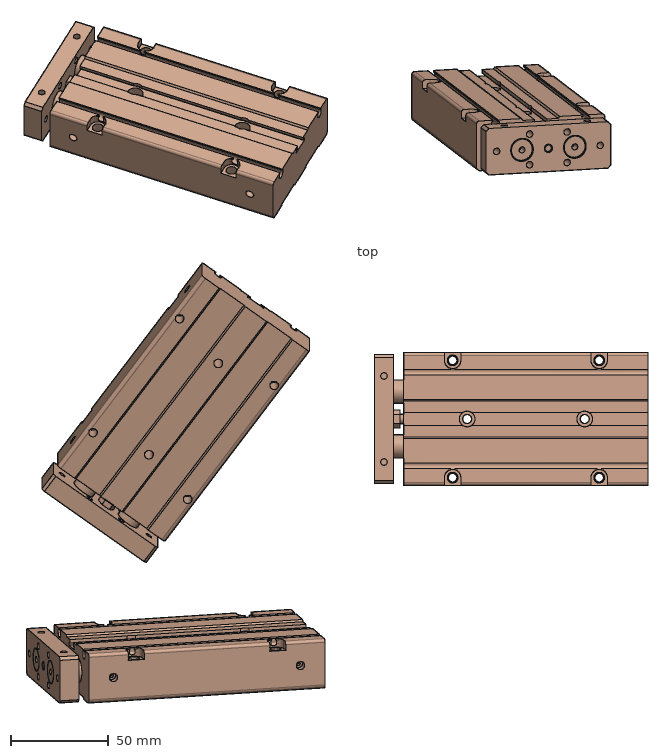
import cadquery as cq
import math

TOTAL_LENGTH = 140.0
HOUSING_WIDTH = 68.0
HOUSING_HEIGHT = 26.0
PLATE_THICKNESS = 10.0
PLATE_WIDTH = 66.1
PLATE_HEIGHT = 24.4
PLATE_CHAMFER = 1.5
ROD_GAP = 5.0

HOUSING_START = PLATE_THICKNESS + ROD_GAP
HOUSING_LENGTH = TOTAL_LENGTH - HOUSING_START
MID_Z = HOUSING_HEIGHT / 2

TOP_EDGE_RADIUS = 1.5
BOTTOM_EDGE_RADIUS = 2.1
RECESS_DEPTH = 1.0
RECESS_SLOPE = 0.8
TOP_RECESS_HALF = 10.1
T_SLOT_OPENING = 6.6
T_SLOT_WIDTH = 10.1
T_SLOT_LIP = 1.8
T_SLOT_DEPTH = 3.4
BOTTOM_RECESS_INNER = 6.7
BOTTOM_RECESS_OUTER = 23.2
SENSOR_GROOVE_Y = 24.0
SENSOR_GROOVE_RADIUS = 2.1
SENSOR_GROOVE_SINK = 2.7
SENSOR_GROOVE_LIP = 0.8
SENSOR_GROOVE_OPENING = 2.8

CORNER_SEAT_DIAMETER = 8.4
CORNER_SEAT_DEPTH = 4.5
CENTER_SEAT_DIAMETER = 8.0
CENTER_SEAT_DEPTH = 9.1
CORNER_X = (40.0, 115.0)
CORNER_Y = 30.0
CORNER_HOLE_DIAMETER = 4.3
CORNER_BORE_DIAMETER = 5.5
NOTCH_WIDTH = 2.2
NOTCH_DEPTH = 2.7
CENTER_X = (47.5, 107.5)
CENTER_HOLE_DIAMETER = 4.5
PORT_X = (28.0, 127.0)
PORT_DIAMETER = 4.2
PORT_DEPTH = 4.2
PORT_INNER_DIAMETER = 2.0
PORT_INNER_DEPTH = 7.0

ROD_Y = 14.0
ROD_DIAMETER = 12.0
ROD_HOLE_DIAMETER = 3.1
ROD_HOLE_DEPTH = 7.0
BOLT_DIAMETER = 5.0
BOLT_END_DIAMETER = 4.3
END_RING_WIDTH = 0.4
END_RING_DEPTH = 0.8
NUT_ACROSS_FLATS = 8.0
NUT_THICKNESS = 3.2
PLATE_HOLE_DIAMETER = 3.4
FACE_HOLE_OUTER_Y = 27.5
FACE_HOLE_INNER_Y = 10.0
FACE_HOLE_RISE = 8.0
TOP_HOLE_Y = 22.0
TOP_HOLE_DEPTH = 7.0


def x_cylinder(diameter, x_start, x_end, y, z=MID_Z):
    plane = cq.Workplane("YZ", origin=(x_start, y, z))
    return plane.circle(diameter / 2).extrude(x_end - x_start)


def z_cylinder(diameter, z_start, z_end, x, y):
    plane = cq.Workplane("XY", origin=(x, y, z_start))
    return plane.circle(diameter / 2).extrude(z_end - z_start)


def housing_prism(points):
    """Extrude a (y, z) polygon along the whole housing."""
    plane = cq.Workplane("YZ", origin=(HOUSING_START, 0, 0))
    return plane.polyline(points).close().extrude(HOUSING_LENGTH)


def housing_slot(y_from, y_to, z_from, z_to):
    """Rectangular slot along the whole housing."""
    return housing_prism([(y_from, z_from), (y_to, z_from), (y_to, z_to), (y_from, z_to)])


def z_block(width, x, y_from, y_to, z_from):
    """Block centred on x that rises to the top face of the housing."""
    plane = cq.Workplane("XY", origin=(x, (y_from + y_to) / 2, z_from))
    return plane.rect(width, abs(y_to - y_from)).extrude(HOUSING_HEIGHT - z_from)


def recess(y_from, y_to, surface_z, floor_z):
    """Shallow recess with sides that slope inwards to its floor."""
    return housing_prism([
        (y_from, surface_z),
        (y_from + RECESS_SLOPE, floor_z),
        (y_to - RECESS_SLOPE, floor_z),
        (y_to, surface_z),
    ])


def sensor_groove(side):
    """Round-bottomed groove along the housing, partly closed by a lip on each side."""
    axis_y = side * SENSOR_GROOVE_Y
    axis_z = HOUSING_HEIGHT - SENSOR_GROOVE_SINK
    lip_z = HOUSING_HEIGHT - SENSOR_GROOVE_LIP
    radius = SENSOR_GROOVE_RADIUS
    opening_half = SENSOR_GROOVE_OPENING / 2
    bottom = x_cylinder(2 * radius, HOUSING_START, TOTAL_LENGTH, axis_y, axis_z)
    body = housing_slot(axis_y - radius, axis_y + radius, axis_z, lip_z)
    opening = housing_slot(axis_y - opening_half, axis_y + opening_half, axis_z, HOUSING_HEIGHT)
    return bottom.union(body).union(opening)


def corner_mount(x, side):
    """Seat open to the side face, its stepped through hole, and a notch into the sensor groove."""
    seat_z = HOUSING_HEIGHT - CORNER_SEAT_DEPTH
    hole_y = side * CORNER_Y
    side_y = side * HOUSING_WIDTH / 2
    seat = z_cylinder(CORNER_SEAT_DIAMETER, seat_z, HOUSING_HEIGHT, x, hole_y)
    open_side = z_block(CORNER_SEAT_DIAMETER, x, hole_y, side_y, seat_z)
    notch = z_block(NOTCH_WIDTH, x, hole_y, side * SENSOR_GROOVE_Y, HOUSING_HEIGHT - NOTCH_DEPTH)
    bore = z_cylinder(CORNER_BORE_DIAMETER, MID_Z, seat_z, x, hole_y)
    hole = z_cylinder(CORNER_HOLE_DIAMETER, 0, MID_Z, x, hole_y)
    return seat.union(open_side).union(notch).union(bore).union(hole)


def center_mount(x):
    """Counterbored through hole on the centre line."""
    seat = z_cylinder(CENTER_SEAT_DIAMETER, HOUSING_HEIGHT - CENTER_SEAT_DEPTH, HOUSING_HEIGHT, x, 0)
    return seat.union(z_cylinder(CENTER_HOLE_DIAMETER, 0, HOUSING_HEIGHT, x, 0))


def air_port(x):
    """Stepped blind port in the -Y side face."""
    plane = cq.Workplane("XZ", origin=(x, -HOUSING_WIDTH / 2, MID_Z))
    mouth = plane.circle(PORT_DIAMETER / 2).extrude(-PORT_DEPTH)
    return mouth.union(plane.circle(PORT_INNER_DIAMETER / 2).extrude(-PORT_INNER_DEPTH))


def make_housing():
    block = cq.Workplane("XY").box(HOUSING_LENGTH, HOUSING_WIDTH, HOUSING_HEIGHT, centered=(False, True, False))
    block = block.translate((HOUSING_START, 0, 0))
    block = block.edges("|X and >Z").fillet(TOP_EDGE_RADIUS)
    block = block.edges("|X and <Z").fillet(BOTTOM_EDGE_RADIUS)

    recess_floor_z = HOUSING_HEIGHT - RECESS_DEPTH
    block = block.cut(recess(-TOP_RECESS_HALF, TOP_RECESS_HALF, HOUSING_HEIGHT, recess_floor_z))
    slot_floor_z = recess_floor_z - T_SLOT_DEPTH
    lip_z = recess_floor_z - T_SLOT_LIP
    block = block.cut(housing_slot(-T_SLOT_OPENING / 2, T_SLOT_OPENING / 2, slot_floor_z, recess_floor_z))
    block = block.cut(housing_slot(-T_SLOT_WIDTH / 2, T_SLOT_WIDTH / 2, slot_floor_z, lip_z))

    block = block.cut(recess(BOTTOM_RECESS_INNER, BOTTOM_RECESS_OUTER, 0, RECESS_DEPTH))
    block = block.cut(recess(-BOTTOM_RECESS_OUTER, -BOTTOM_RECESS_INNER, 0, RECESS_DEPTH))

    for side in (-1, 1):
        block = block.cut(sensor_groove(side))
        for x in CORNER_X:
            block = block.cut(corner_mount(x, side))
    for x in CENTER_X:
        block = block.cut(center_mount(x))
    for x in PORT_X:
        block = block.cut(air_port(x))
    return block


def end_ring(diameter, y):
    """V-shaped ring in the plate face around a rod end: sloping outer wall, straight inner wall."""
    inner_radius = diameter / 2 - END_RING_WIDTH
    centre = cq.Vector(0, y, MID_Z)
    cone = cq.Solid.makeCone(diameter / 2, inner_radius, END_RING_DEPTH, centre, cq.Vector(1, 0, 0))
    return cq.Workplane("XY").add(cone).cut(x_cylinder(2 * inner_radius, 0, END_RING_DEPTH, y))


def make_slider():
    """End plate with its two guide rods, stop bolt and nut."""
    plate = cq.Workplane("XY").box(PLATE_THICKNESS, PLATE_WIDTH, PLATE_HEIGHT).edges("|X").chamfer(PLATE_CHAMFER)
    slider = plate.translate((PLATE_THICKNESS / 2, 0, MID_Z))

    for y in (-ROD_Y, ROD_Y):
        slider = slider.union(x_cylinder(ROD_DIAMETER, PLATE_THICKNESS, HOUSING_START, y))
    slider = slider.union(x_cylinder(BOLT_DIAMETER, PLATE_THICKNESS, HOUSING_START, 0))
    nut_across_corners = NUT_ACROSS_FLATS / math.cos(math.pi / 6)
    nut = cq.Workplane("YZ", origin=(PLATE_THICKNESS, 0, MID_Z)).polygon(6, nut_across_corners)
    slider = slider.union(nut.extrude(NUT_THICKNESS))

    for y in (-ROD_Y, ROD_Y):
        slider = slider.cut(end_ring(ROD_DIAMETER, y))
        slider = slider.cut(x_cylinder(ROD_HOLE_DIAMETER, 0, ROD_HOLE_DEPTH, y))
    slider = slider.cut(end_ring(BOLT_END_DIAMETER, 0))

    plate_top_z = MID_Z + PLATE_HEIGHT / 2
    top_hole_floor_z = plate_top_z - TOP_HOLE_DEPTH
    for side in (-1, 1):
        face_holes = [
            (FACE_HOLE_OUTER_Y, 0),
            (FACE_HOLE_INNER_Y, FACE_HOLE_RISE),
            (FACE_HOLE_INNER_Y, -FACE_HOLE_RISE),
        ]
        for y, rise in face_holes:
            slider = slider.cut(x_cylinder(PLATE_HOLE_DIAMETER, 0, PLATE_THICKNESS, side * y, MID_Z + rise))
        slider = slider.cut(
            z_cylinder(PLATE_HOLE_DIAMETER, top_hole_floor_z, plate_top_z, PLATE_THICKNESS / 2, side * TOP_HOLE_Y)
        )
    return slider


housing = make_housing()
slider = make_slider()
result = cq.Compound.makeCompound([housing.val(), slider.val()])